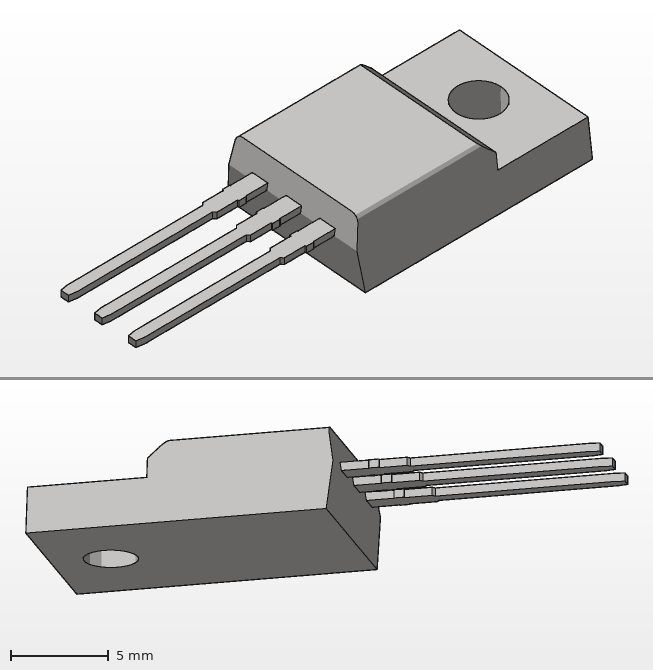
import cadquery as cq


total_length = 29.75
base_width = 10.32
height = 4.7
parting_height = 2.68
top_width = 9.1
top_edge_radius = 0.55
housing_length = 16.15
lower_setback = 0.27
upper_setback = 0.33
tab_height = 2.6
tab_length = 6.3
ramp_height = 1.05
ramp_length = 1.1

hole_from_rear = 3.15
hole_top_diameter = 3.12
hole_bottom_diameter = 2.83

lead_count = 3
lead_pitch = 2.53
lead_thickness = 0.45
root_width = 1.15
bump_width = 1.25
shank_width = 1.07
stem_width = 0.75
tip_width = 0.57
bump_start = 17.6
bump_end = 18.15
shoulder_start = 19.6
shoulder_length = 0.15
tip_taper_length = 0.55


def make_cross_section_prism():
    """Drafted width profile with rounded top edges, along the whole housing."""
    return (
        cq.Workplane("XZ")
        .moveTo(-base_width / 2, 0)
        .lineTo(base_width / 2, 0)
        .lineTo(top_width / 2, height)
        .lineTo(-top_width / 2, height)
        .close()
        .extrude(housing_length)
        .faces(">Z")
        .edges("|Y")
        .fillet(top_edge_radius)
    )


def make_side_profile_prism():
    """Side profile: low tab, ramped step and front face drafted both ways."""
    return (
        cq.Workplane("YZ")
        .moveTo(0, 0)
        .lineTo(0, tab_height)
        .lineTo(-tab_length, tab_height)
        .lineTo(-tab_length, height - ramp_height)
        .lineTo(-tab_length - ramp_length, height)
        .lineTo(-housing_length + upper_setback, height)
        .lineTo(-housing_length, parting_height)
        .lineTo(-housing_length + lower_setback, 0)
        .close()
        .extrude(base_width / 2, both=True)
    )


def make_mounting_hole():
    """Tapered cutter for the hole through the tab."""
    return (
        cq.Workplane("XY")
        .center(0, -hole_from_rear)
        .circle(hole_bottom_diameter / 2)
        .workplane(offset=tab_height)
        .circle(hole_top_diameter / 2)
        .loft()
    )


def make_housing():
    body = make_cross_section_prism().intersect(make_side_profile_prism())
    return body.cut(make_mounting_hole()).solids()


def make_lead(x_center, housing):
    """Flat stepped lead whose root butts against the drafted front face."""
    root_y = -housing_length + upper_setback
    right_edge = [
        (root_width / 2, root_y),
        (root_width / 2, -bump_start),
        (bump_width / 2, -bump_start),
        (bump_width / 2, -bump_end),
        (shank_width / 2, -bump_end),
        (shank_width / 2, -shoulder_start),
        (stem_width / 2, -shoulder_start - shoulder_length),
        (stem_width / 2, -total_length + tip_taper_length),
        (tip_width / 2, -total_length),
    ]
    left_edge = [(-x, y) for x, y in reversed(right_edge)]
    blank = (
        cq.Workplane("XY", origin=(x_center, 0, parting_height))
        .polyline(right_edge + left_edge)
        .close()
        .extrude(lead_thickness)
    )
    return blank.cut(housing).solids()


housing = make_housing()

leads = []
for index in range(lead_count):
    lead_x = (index - (lead_count - 1) / 2) * lead_pitch
    leads.append(make_lead(lead_x, housing))

result = cq.Compound.makeCompound([housing.val(), *[lead.val() for lead in leads]])